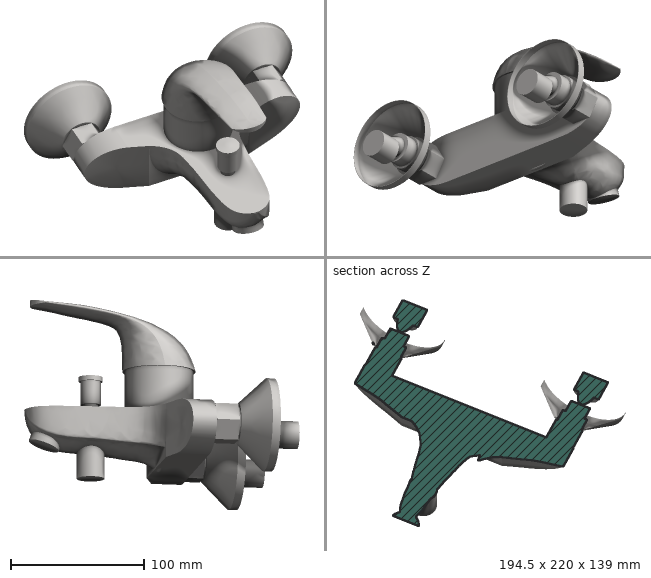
import cadquery as cq
import math

OVERALL_LENGTH = 194.5
OVERALL_WIDTH = 220.0

FLANGE_DIAMETER = 70.0
FLANGE_NOSE_DIAMETER = 31.2
RIM_BORE_DIAMETER = 69.3
FLANGE_BACK_X = -45.0
FLANGE_RIM_X = -39.0
FLANGE_NOSE_X = -18.5
WALL = (FLANGE_DIAMETER - RIM_BORE_DIAMETER) / 2
FLOOR_THICKNESS = 0.7
INLET_Y = (OVERALL_WIDTH - FLANGE_DIAMETER) / 2

NUT_FLATS = 27.7
NUT_LENGTH = 17.4
COLLAR_DIAMETER = 26.5
COLLAR_TIP_DIAMETER = 23.0
COLLAR_STEP_X = -27.3
COLLAR_BACK_X = -37.2
ROD_DIAMETER = 15.5
ROD_BURIED_SHARE = 0.3
ROD_END_X = -55.5
ECCENTRIC_DIAMETER = 21.0
ECCENTRIC_DROP = 7.3
ECCENTRIC_FRONT_X = -46.6

BODY_HALF_HEIGHT = 20.5
ARM_SPAN = 179.0
ARM_DEPTH = 18.0
ARM_END_LENGTH = 33.0
ARM_FLANK_POINT = (25.0, 56.5)
ARM_ROOT = (30.4, 41.5)
SPOUT_TIP_X = 130.7
SPOUT_FULLNESS = 0.77
ECCENTRIC_BACK_X = SPOUT_TIP_X - OVERALL_LENGTH

COLUMN_X = 28.4
COLUMN_DIAMETER = 51.7
LEVER_DIAMETER = 55.0
LEVER_BASE_Z = 52.8
LEVER_TIP_X = 126.5

DIVERTER_X = 80.5
STEM_DIAMETER = 11.2
KNOB_DIAMETER = 15.5
CAP_DIAMETER = 17.8
KNOB_Z = 25.5
CAP_Z = 43.3
CAP_EDGE_Z = 46.9
CAP_TOP_Z = 48.0
SHOWER_OUTLET_DIAMETER = 21.0
SHOWER_OUTLET_Z = -30.8
AERATOR_DIAMETER = 24.0
AERATOR_CENTER = (116.2, 0, -6.8)
AERATOR_LENGTH = 11.0
AERATOR_TILT = 20


def disc(x, y, diameter, z_bottom, z_top):
    """Upright cylinder."""
    return cq.Workplane("XY", origin=(x, y, z_bottom)).circle(diameter / 2).extrude(z_top - z_bottom)


def make_flange(y):
    """Hollow cone with a short rim, and a floor that fits around the inlet collar."""
    rim = FLANGE_DIAMETER / 2
    nose = FLANGE_NOSE_DIAMETER / 2
    bore = COLLAR_DIAMETER / 2
    profile = [
        (FLANGE_BACK_X, rim - WALL),
        (FLANGE_BACK_X, rim),
        (FLANGE_RIM_X, rim),
        (FLANGE_NOSE_X, nose),
        (FLANGE_NOSE_X, bore),
        (FLANGE_NOSE_X - FLOOR_THICKNESS, bore),
        (FLANGE_NOSE_X - FLOOR_THICKNESS, nose - WALL),
        (FLANGE_RIM_X, rim - WALL),
    ]
    cone = cq.Workplane("XY").polyline(profile).close().revolve(360, (0, 0, 0), (1, 0, 0))
    return cone.translate((0, y, 0))


def make_inlet(y):
    """Nut, stepped collar, slanted rod and eccentric end on one inlet axis."""
    nut_corners = NUT_FLATS / math.cos(math.radians(30))
    nut = cq.Workplane("YZ").polygon(6, nut_corners).extrude(-NUT_LENGTH)
    collar = cq.Workplane("YZ").circle(COLLAR_DIAMETER / 2).extrude(COLLAR_STEP_X)
    collar_tip = cq.Workplane("YZ").circle(COLLAR_TIP_DIAMETER / 2).extrude(COLLAR_BACK_X)
    rod_axis = cq.Vector(ROD_END_X - COLLAR_BACK_X, 0, -ECCENTRIC_DROP)
    rod_start = cq.Vector(COLLAR_BACK_X, 0, 0) - rod_axis * ROD_BURIED_SHARE
    rod_length = rod_axis.Length * (1 + ROD_BURIED_SHARE)
    rod = cq.Solid.makeCylinder(ROD_DIAMETER / 2, rod_length, rod_start, rod_axis)
    eccentric = (
        cq.Workplane("YZ", origin=(ECCENTRIC_FRONT_X, 0, -ECCENTRIC_DROP))
        .circle(ECCENTRIC_DIAMETER / 2)
        .extrude(ECCENTRIC_BACK_X - ECCENTRIC_FRONT_X)
    )
    inlet = nut.union(collar).union(collar_tip).union(cq.Workplane(rod)).union(eccentric)
    return inlet.translate((0, y, 0))


def make_plan():
    """Plan of the two arms as a tall prism; each arm widens along a curve toward the spout."""
    end_y = ARM_SPAN / 2
    flank = [(ARM_DEPTH, end_y), ARM_FLANK_POINT, ARM_ROOT]
    mirrored_flank = [(x, -y) for x, y in reversed(flank)]
    outline = (
        cq.Workplane("XY", origin=(0, 0, -BODY_HALF_HEIGHT))
        .moveTo(0, end_y)
        .lineTo(*flank[0])
        .spline(flank[1:], includeCurrent=True)
        .lineTo(*mirrored_flank[0])
        .spline(mirrored_flank[1:], includeCurrent=True)
        .lineTo(0, -end_y)
        .close()
    )
    return outline.extrude(2 * BODY_HALF_HEIGHT)


def spout_section(x, half_width, bottom_z):
    """U-shaped wire across the spout, with a flat top."""
    top_z = BODY_HALF_HEIGHT
    shoulder_y = SPOUT_FULLNESS * half_width
    shoulder_z = top_z - SPOUT_FULLNESS * (top_z - bottom_z)
    return (
        cq.Workplane("YZ", origin=(x, 0, 0))
        .moveTo(-half_width, top_z)
        .spline(
            [(-shoulder_y, shoulder_z), (0, bottom_z), (shoulder_y, shoulder_z), (half_width, top_z)],
            tangents=[(0, -1), (0, 1)],
            includeCurrent=True,
        )
        .close()
        .val()
    )


def make_spout():
    """Tapering U-shaped beam, given as (x, half width, bottom z) sections, with a nose that tapers to a narrow tip."""
    sections = [
        spout_section(*ARM_FLANK_POINT, -19.8),
        spout_section(*ARM_ROOT, -18.7),
        spout_section(37.5, 31.5, -16.5),
        spout_section(46.2, 25.7, -15.5),
        spout_section(54.5, 23.8, -14.7),
        spout_section(82.5, 21.3, -11.7),
        spout_section(110.7, 18.7, -8.5),
        spout_section(122.3, 14.7, -1.5),
        spout_section(128.3, 8.5, 7.3),
        spout_section(SPOUT_TIP_X, 2.2, 19.0),
    ]
    return cq.Workplane(cq.Solid.makeLoft(sections))


def make_body():
    """Round-ended arms trimmed to the plan and joined to the spout."""
    end_center_y = ARM_SPAN / 2 - ARM_END_LENGTH
    arms = cq.Workplane("YZ").rect(2 * end_center_y, 2 * BODY_HALF_HEIGHT).extrude(ARM_ROOT[0])
    for y in (-end_center_y, end_center_y):
        arm_end = cq.Workplane("YZ", origin=(0, y, 0)).ellipse(ARM_END_LENGTH, BODY_HALF_HEIGHT)
        arms = arms.union(arm_end.extrude(ARM_ROOT[0]))
    return arms.intersect(make_plan()).union(make_spout())


def lever_section(upper, lower, half_width):
    """Ellipse across the lever; its minor axis joins the upper and lower points (x, z)."""
    across = cq.Vector(upper[0] - lower[0], 0, upper[1] - lower[1])
    middle = cq.Vector((upper[0] + lower[0]) / 2, 0, (upper[1] + lower[1]) / 2)
    along = across.cross(cq.Vector(0, 1, 0))
    plane = cq.Plane(origin=middle.toTuple(), xDir=across.toTuple(), normal=along.toTuple())
    return cq.Workplane(plane).ellipse(across.Length / 2, half_width).val()


def make_lever():
    """Dome over the column drawn out into a handle with a round tip."""
    radius = LEVER_DIAMETER / 2
    sections = [
        lever_section((COLUMN_X - radius, LEVER_BASE_Z), (COLUMN_X + radius, LEVER_BASE_Z), radius),
        lever_section((6.0, 66.0), (56.3, 63.8), 26.5),
        lever_section((18.3, 79.6), (57.2, 76.0), 23.8),
        lever_section((41.8, 90.6), (61.2, 85.5), 20.0),
        lever_section((73.7, 98.3), (76.0, 90.9), 17.5),
        lever_section((101.2, 101.9), (102.3, 95.5), 16.0),
        lever_section((LEVER_TIP_X, 104.0), (127.0, 99.7), 14.5),
    ]
    lever = cq.Workplane(cq.Solid.makeLoft(sections))
    tip_radius = 16.3
    envelope_height = 132.0
    side_y = LEVER_DIAMETER
    taper_x = 88.0
    straight_end = LEVER_TIP_X - tip_radius
    envelope = (
        cq.Workplane("XY")
        .moveTo(0, side_y)
        .lineTo(taper_x, side_y)
        .lineTo(straight_end, tip_radius)
        .threePointArc((LEVER_TIP_X, 0), (straight_end, -tip_radius))
        .lineTo(taper_x, -side_y)
        .lineTo(0, -side_y)
        .close()
        .extrude(envelope_height)
    )
    return lever.intersect(envelope)


def make_diverter():
    """Pull knob with a slightly domed cap on a thin stem."""
    stem = disc(DIVERTER_X, 0, STEM_DIAMETER, 0, KNOB_Z)
    knob = disc(DIVERTER_X, 0, KNOB_DIAMETER, KNOB_Z, CAP_Z)
    cap = (
        cq.Workplane("XZ")
        .moveTo(0, CAP_Z)
        .lineTo(CAP_DIAMETER / 2, CAP_Z)
        .lineTo(CAP_DIAMETER / 2, CAP_EDGE_Z)
        .lineTo(0, CAP_TOP_Z)
        .close()
        .revolve(360, (0, 0, 0), (0, 1, 0))
        .translate((DIVERTER_X, 0, 0))
    )
    return stem.union(knob).union(cap)


def make_aerator():
    """Short outlet tilted under the spout nose."""
    tilt = math.radians(AERATOR_TILT)
    axis = cq.Vector(-math.sin(tilt), 0, math.cos(tilt))
    return cq.Workplane(
        cq.Solid.makeCylinder(AERATOR_DIAMETER / 2, AERATOR_LENGTH, cq.Vector(*AERATOR_CENTER), axis)
    )


def make_mixer():
    """Body with its column, lever, diverter, outlets and both inlets as one solid."""
    column = disc(COLUMN_X, 0, COLUMN_DIAMETER, 0, LEVER_BASE_Z)
    shower_outlet = disc(DIVERTER_X, 0, SHOWER_OUTLET_DIAMETER, SHOWER_OUTLET_Z, 0)
    mixer = make_body().union(column).union(make_lever()).union(make_diverter())
    mixer = mixer.union(shower_outlet).union(make_aerator())
    for y in (-INLET_Y, INLET_Y):
        mixer = mixer.union(make_inlet(y))
    return mixer


mixer = make_mixer()
flanges = [make_flange(y) for y in (-INLET_Y, INLET_Y)]
result = cq.Compound.makeCompound([*mixer.vals(), *[flange.val() for flange in flanges]])